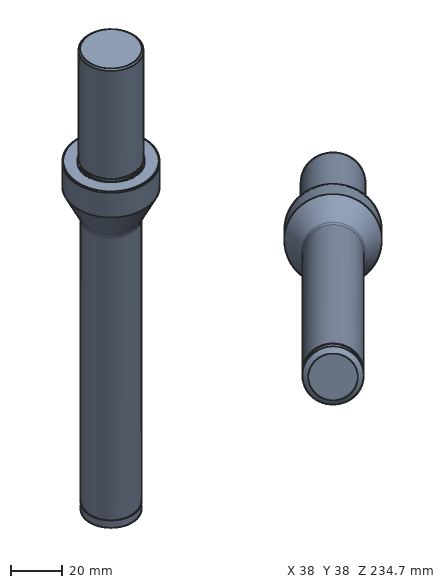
import cadquery as cq

TOTAL_LENGTH = 234.7

TIP_HEIGHT = 5.5
TIP_BACK_RADIUS = 11.7
TIP_RADIUS = 12.0
TIP_CHAMFER_HEIGHT = 1.6
TIP_CHAMFER_WIDTH = 2.3

BODY_RADIUS = 12.0
CONE_BOTTOM = 150.0
CONE_BLEND_RADIUS = 4.2

COLLAR_RADIUS = 19.0
COLLAR_BOTTOM = 165.0
COLLAR_TOP = 178.0
COLLAR_CHAMFER = 0.5

SHANK_RADIUS = 12.7
SHANK_CHAMFER = 0.7
RELIEF_DEPTH = 0.5
RELIEF_ABOVE_COLLAR = 1.2


def turn(outline):
    """Revolve a closed radius-height outline about the Z axis."""
    return outline.close().revolve(360, (0, 0, 0), (0, 1, 0))


def make_tip():
    """Short tip that widens slightly downward and ends in a chamfer."""
    outline = (
        cq.Workplane("XZ")
        .lineTo(TIP_RADIUS - TIP_CHAMFER_WIDTH, 0)
        .lineTo(TIP_RADIUS, TIP_CHAMFER_HEIGHT)
        .lineTo(TIP_BACK_RADIUS, TIP_HEIGHT)
        .lineTo(0, TIP_HEIGHT)
    )
    return turn(outline)


def make_holder():
    """Body, cone, collar and shank in one piece."""
    outline = (
        cq.Workplane("XZ")
        .moveTo(0, TIP_HEIGHT)
        .lineTo(BODY_RADIUS, TIP_HEIGHT)
        .lineTo(BODY_RADIUS, CONE_BOTTOM)
        .lineTo(COLLAR_RADIUS, COLLAR_BOTTOM)
        .lineTo(COLLAR_RADIUS, COLLAR_TOP - COLLAR_CHAMFER)
        .lineTo(COLLAR_RADIUS - COLLAR_CHAMFER, COLLAR_TOP)
        .lineTo(SHANK_RADIUS, COLLAR_TOP)
        .lineTo(SHANK_RADIUS, TOTAL_LENGTH - SHANK_CHAMFER)
        .lineTo(SHANK_RADIUS - SHANK_CHAMFER, TOTAL_LENGTH)
        .lineTo(0, TOTAL_LENGTH)
    )
    blend_zone = cq.selectors.BoxSelector(
        (-COLLAR_RADIUS, -COLLAR_RADIUS, CONE_BOTTOM - CONE_BLEND_RADIUS),
        (COLLAR_RADIUS, COLLAR_RADIUS, CONE_BOTTOM + CONE_BLEND_RADIUS),
    )
    blended = turn(outline).edges(blend_zone).edges("%CIRCLE").fillet(CONE_BLEND_RADIUS)
    return blended.cut(make_relief_groove())


def make_relief_groove():
    """Ring cut into both the shank surface and the collar face."""
    height = RELIEF_DEPTH + RELIEF_ABOVE_COLLAR
    return (
        cq.Workplane("XY", origin=(0, 0, COLLAR_TOP - RELIEF_DEPTH))
        .circle(SHANK_RADIUS + RELIEF_DEPTH)
        .circle(SHANK_RADIUS - RELIEF_DEPTH)
        .extrude(height)
    )


tip = make_tip()
holder = make_holder()

result = cq.Compound.makeCompound([tip.val(), holder.val()])